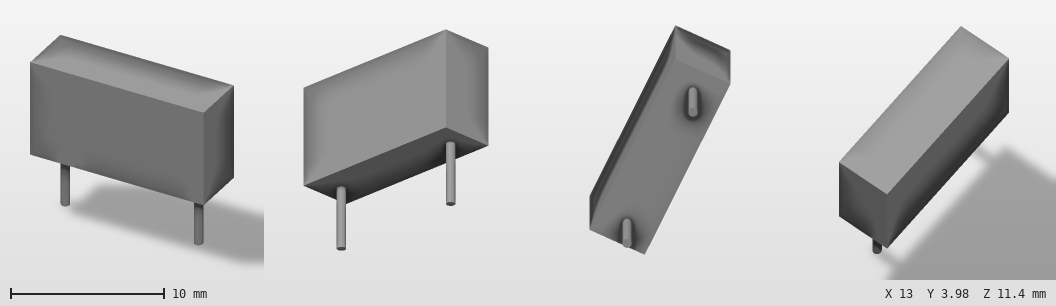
import cadquery as cq

body_length = 12.98
body_width = 3.98
total_height = 11.38

body_height = 7.04
pin_diameter = 0.61
pin_spacing = 9.97
pin_length = total_height - body_height


def make_body():
    """Rectangular component body standing on the XY plane."""
    return cq.Workplane("XY").box(
        body_length, body_width, body_height, centered=(True, True, False)
    )


def make_pin(x):
    """Round pin hanging from the underside of the body at position x."""
    return cq.Workplane("XY").center(x, 0).circle(pin_diameter / 2).extrude(-pin_length)


body = make_body()
pins = [make_pin(side * pin_spacing / 2) for side in (-1, 1)]

result = cq.Compound.makeCompound([body.val(), *[pin.val() for pin in pins]])